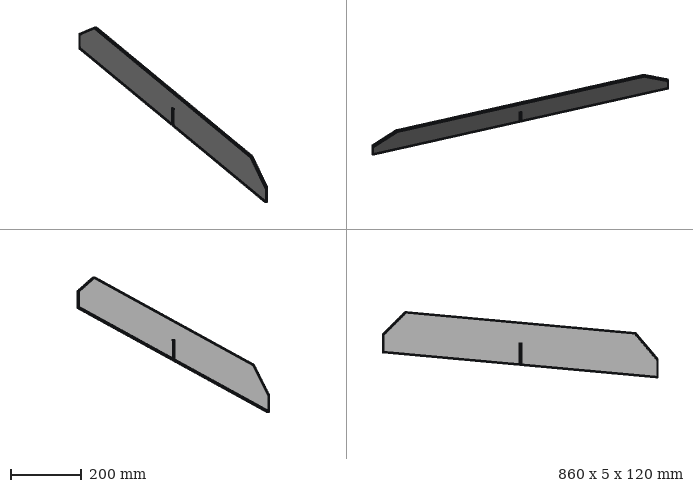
import cadquery as cq

length = 860.0
thickness = 5.0
height = 120.0

corner_run = 70.0
corner_rise = 70.0

slot_width = thickness
slot_height = height / 2

half_length = length / 2
shoulder_z = height - corner_rise
top_half_length = half_length - corner_run

plate = (
    cq.Workplane("XZ")
    .moveTo(-half_length, 0)
    .lineTo(half_length, 0)
    .lineTo(half_length, shoulder_z)
    .lineTo(top_half_length, height)
    .lineTo(-top_half_length, height)
    .lineTo(-half_length, shoulder_z)
    .close()
    .extrude(thickness / 2, both=True)
)

slot = cq.Workplane("XY").box(slot_width, thickness, slot_height, centered=(True, True, False))

result = plate.cut(slot)